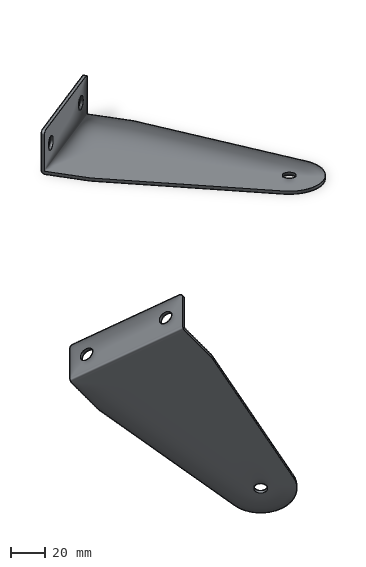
import cadquery as cq
import math

length = 161.0
width = 80.0
height = 28.0
thickness = 2.1

inner_bend_radius = 0.56
outer_bend_radius = inner_bend_radius + thickness

straight_length = 30.4
tip_radius = 21.2
tip_center_x = length - tip_radius
tip_hole_diameter = 8.0

flange_corner_radius = 2.4
flange_hole_diameter = 8.7
flange_hole_spacing = 56.0
flange_hole_height = 15.0


def bent_sheet():
    """L-shaped sheet with a rounded bend, centred on Y = 0."""
    profile = (
        cq.Workplane("XZ")
        .moveTo(0, height)
        .lineTo(0, outer_bend_radius)
        .radiusArc((outer_bend_radius, 0), -outer_bend_radius)
        .lineTo(length, 0)
        .lineTo(length, thickness)
        .lineTo(outer_bend_radius, thickness)
        .radiusArc((thickness, outer_bend_radius), inner_bend_radius)
        .lineTo(thickness, height)
        .close()
    )
    return profile.extrude(width / 2, both=True)


def plate_outline():
    """Full-height prism whose straight tapers run tangent into the round tip."""
    half_width = width / 2
    taper_length = tip_center_x - straight_length
    corner_distance = math.hypot(taper_length, half_width)
    corner_angle = math.atan2(half_width, -taper_length)
    tangent_angle = corner_angle - math.acos(tip_radius / corner_distance)
    tangent_x = tip_center_x + tip_radius * math.cos(tangent_angle)
    tangent_y = tip_radius * math.sin(tangent_angle)
    return (
        cq.Workplane("XY")
        .moveTo(0, -half_width)
        .lineTo(straight_length, -half_width)
        .lineTo(tangent_x, -tangent_y)
        .threePointArc((length, 0), (tangent_x, tangent_y))
        .lineTo(straight_length, half_width)
        .lineTo(0, half_width)
        .close()
        .extrude(height)
    )


def tip_hole():
    return (
        cq.Workplane("XY")
        .center(tip_center_x, 0)
        .circle(tip_hole_diameter / 2)
        .extrude(thickness)
    )


def flange_holes():
    half_spacing = flange_hole_spacing / 2
    return (
        cq.Workplane("YZ")
        .pushPoints([(side * half_spacing, flange_hole_height) for side in (-1, 1)])
        .circle(flange_hole_diameter / 2)
        .extrude(thickness)
    )


bracket = bent_sheet().intersect(plate_outline())

bracket = bracket.faces(">Z").edges("|X").fillet(flange_corner_radius)

result = bracket.cut(tip_hole()).cut(flange_holes())